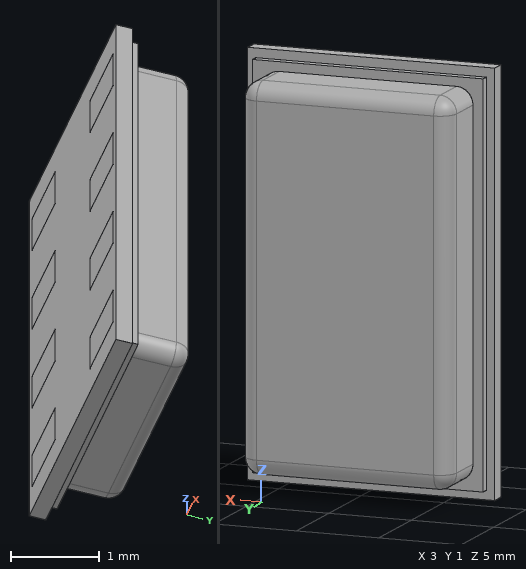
import cadquery as cq

board_width = 3.0
board_height = 5.0
board_thickness = 0.2

total_depth = 1.0
rim_width = 2.8
rim_height = 4.775
rim_thickness = 0.1
cap_inset = 0.225
cap_width = board_width - 2 * cap_inset
cap_height = board_height - 2 * cap_inset
cap_depth = total_depth - board_thickness - rim_thickness
cap_radius = 0.2

pad_width = 0.8
pad_height = 0.5
pad_thickness = board_thickness / 2
pad_side_margin = 0.1
pad_pitch = 1.25
pad_rows = 4

pad_column_x = board_width / 2 - pad_side_margin - pad_width / 2
pad_centers = [
    (x, (row - (pad_rows - 1) / 2) * pad_pitch)
    for x in (-pad_column_x, pad_column_x)
    for row in range(pad_rows)
]


def make_plate(width, thickness, height, front_y):
    """Block centred in X and Z, reaching from front_y toward +Y."""
    plate = cq.Workplane("XY").box(width, thickness, height, centered=(True, False, True))
    return plate.translate((0, front_y, 0))


def make_pad(x, z):
    """Rectangular contact pad with its front face flush with the board."""
    return make_plate(pad_width, pad_thickness, pad_height, 0).translate((x, 0, z))


def make_board():
    """Plate with a pocket for each pad."""
    board = make_plate(board_width, board_thickness, board_height, 0)
    for x, z in pad_centers:
        board = board.cut(make_pad(x, z))
    return board


def make_lid():
    """Cap with rounded corners and a rounded back edge, joined to its rim."""
    cap_front = board_thickness + rim_thickness
    cap = make_plate(cap_width, cap_depth, cap_height, cap_front)
    cap = cap.edges("|Y or >Y").fillet(cap_radius)
    rim = make_plate(rim_width, rim_thickness, rim_height, board_thickness)
    return rim.union(cap)


board = make_board()
lid = make_lid()
pads = [make_pad(x, z) for x, z in pad_centers]

result = cq.Compound.makeCompound([board.val(), lid.val(), *[pad.val() for pad in pads]])